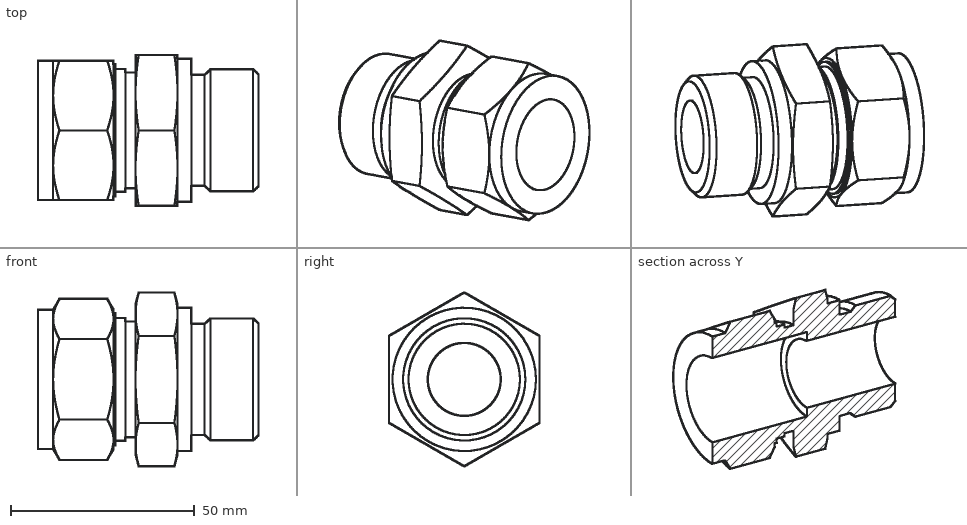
import cadquery as cq
import math


nut_collar_length = 4.2
nut_hex_length = 16.4
nut_face_length = 0.6
shoulder_length = 2.6
neck_length = 2.8
body_hex_length = 11.4
flange_length = 3.8
undercut_length = 3.6
thread_length = 14.7

nut_collar_diameter = 38.0
nut_face_diameter = 36.0
shoulder_diameter = 33.5
neck_diameter = 31.6
flange_diameter = 39.0
undercut_diameter = 30.3
thread_diameter = 33.25

nut_across_flats = 38.0
nut_bevel_angle = 30.0
body_across_flats = 41.0
body_bevel_angle = 15.0

thread_chamfer_height = (thread_diameter - undercut_diameter) / 2
thread_runout_length = 1.6
thread_tip_length = 1.5

through_bore_diameter = 19.8
tube_socket_diameter = 25.0
tube_socket_depth = 31.0


def cylinder(start, length, diameter):
    """Solid cylinder along X."""
    return cq.Workplane("YZ").workplane(offset=start).circle(diameter / 2).extrude(length)


def revolve_about_x(points):
    """Solid of revolution from a closed (x, radius) outline."""
    return cq.Workplane("XY").polyline(points).close().revolve(360, (0, 0, 0), (1, 0, 0))


def bevelled_hex(start, length, across_flats, bevel_angle):
    """Hexagon with corners on the Z axis, both ends bevelled from the inscribed circle."""
    across_corners = across_flats / math.cos(math.radians(30))
    flat_radius = across_flats / 2
    corner_radius = across_corners / 2
    bevel_length = (corner_radius - flat_radius) * math.tan(math.radians(bevel_angle))
    end = start + length
    prism = (
        cq.Workplane("YZ")
        .workplane(offset=start)
        .polygon(6, across_corners)
        .extrude(length)
        .rotate((0, 0, 0), (1, 0, 0), 90)
    )
    envelope = revolve_about_x([
        (start, 0),
        (start, flat_radius),
        (start + bevel_length, corner_radius),
        (end - bevel_length, corner_radius),
        (end, flat_radius),
        (end, 0),
    ])
    return prism.intersect(envelope)


def thread_blank(start):
    """Plain thread cylinder with a tapered run-out and a chamfered tip."""
    end = start + thread_length
    outer_radius = thread_diameter / 2
    end_radius = outer_radius - thread_chamfer_height
    return revolve_about_x([
        (start, 0),
        (start, end_radius),
        (start + thread_runout_length, outer_radius),
        (end - thread_tip_length, outer_radius),
        (end, end_radius),
        (end, 0),
    ])


nut_hex_start = nut_collar_length
nut_face_start = nut_hex_start + nut_hex_length
shoulder_start = nut_face_start + nut_face_length
neck_start = shoulder_start + shoulder_length
body_hex_start = neck_start + neck_length
flange_start = body_hex_start + body_hex_length
undercut_start = flange_start + flange_length
thread_start = undercut_start + undercut_length
total_length = thread_start + thread_length

fitting = cylinder(0, nut_collar_length, nut_collar_diameter)
fitting = fitting.union(bevelled_hex(nut_hex_start, nut_hex_length, nut_across_flats, nut_bevel_angle))
fitting = fitting.union(cylinder(nut_face_start, nut_face_length, nut_face_diameter))

fitting = fitting.union(cylinder(shoulder_start, shoulder_length, shoulder_diameter))
fitting = fitting.union(cylinder(neck_start, neck_length, neck_diameter))
fitting = fitting.union(bevelled_hex(body_hex_start, body_hex_length, body_across_flats, body_bevel_angle))
fitting = fitting.union(cylinder(flange_start, flange_length, flange_diameter))
fitting = fitting.union(cylinder(undercut_start, undercut_length, undercut_diameter))
fitting = fitting.union(thread_blank(thread_start))

fitting = fitting.cut(cylinder(0, tube_socket_depth, tube_socket_diameter))
result = fitting.cut(cylinder(0, total_length, through_bore_diameter))